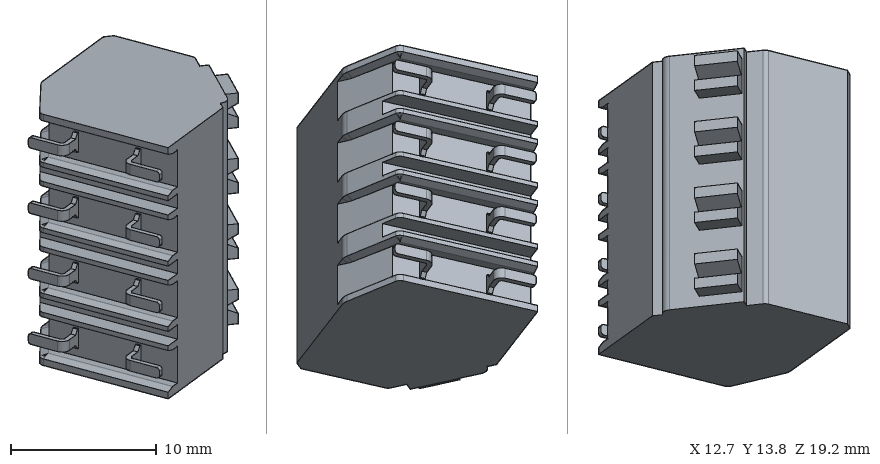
import cadquery as cq
import math


height = 19.2
width = 12.7
depth = 12.95
positions = 4
end_position_height = 4.2
pitch = (height - end_position_height) / (positions - 1)
position_centers = [height / 2 + (i - (positions - 1) / 2) * pitch for i in range(positions)]

front_chamfer_angle = 60.0
front_chamfer_y = 4.13
front_chamfer_x = front_chamfer_y / math.tan(math.radians(front_chamfer_angle))
left_edge_radius = 1.11
front_edge_radius = 0.54
back_left_chamfer = 0.54
wire_face_y = 7.25
wire_face_x = width + wire_face_y - depth
back_edge_radius = 0.48

band_start_x = 7.99
band_length = 5.93
band_height = 0.65
lever_inset = 0.15
lever_length = 3.01
lever_height = 1.29
lever_width = 2.65
lever_groove_width = 1.08
lever_groove_depth = 1.11

pocket_rim_width = 3.19
pocket_floor_width = 2.8
pocket_floor_y = 1.23
pocket_floor_x = 2.42
pocket_left_y = 5.22
rim_bevel_depth = 0.6
slot_width = 1.1

pin_thickness = 0.36
pin_drop = 0.6
pin_length = 2.94
pin_width = 0.8
pin_shoulder_width = 1.5
shoulder_end_y = 1.08
neck_start_y = 0.8
bend_radius = 0.6
foot_corner_radius = 0.23
left_pin_x = 1.85
right_pin_x = 9.4

clearance = 0.96


def round_edge(body, x, y, radius):
    """Round the upright edge of the body at (x, y)."""
    edge = cq.selectors.NearestToPointSelector((x, y, body.val().Center().z))
    return body.edges(edge).fillet(radius)


def round_front_edges(body):
    """Round both ends of the sloped front corner."""
    body = round_edge(body, front_chamfer_x, 0, front_edge_radius)
    return round_edge(body, 0, front_chamfer_y, left_edge_radius)


def make_housing():
    outline = [
        (front_chamfer_x, 0),
        (width, 0),
        (width, wire_face_y),
        (wire_face_x, depth),
        (back_left_chamfer, depth),
        (0, depth - back_left_chamfer),
        (0, front_chamfer_y),
    ]
    body = cq.Workplane("XY").polyline(outline).close().extrude(height)
    return round_edge(round_front_edges(body), wire_face_x, depth, back_edge_radius)


def wire_face_plane(z):
    """Plane with local x running down the wire face and local y pointing out of it."""
    band_start = (band_start_x, width + wire_face_y - band_start_x, z)
    return cq.Plane(origin=band_start, xDir=(1, -1, 0), normal=(0, 0, 1))


def make_band():
    arc_start_x = band_length - band_height
    arc_mid = band_height * math.sqrt(0.5)
    return (
        cq.Workplane(wire_face_plane(0))
        .moveTo(0, -clearance)
        .lineTo(0, band_height)
        .lineTo(arc_start_x, band_height)
        .threePointArc((arc_start_x + arc_mid, arc_mid), (band_length, 0))
        .lineTo(band_length, -clearance)
        .close()
        .extrude(height)
    )


def make_lever(z):
    """Block on the band, with a V groove along its outer face."""
    top = band_height + lever_height
    block = (
        cq.Workplane(wire_face_plane(z))
        .center(lever_inset + lever_length / 2, top / 2)
        .rect(lever_length, top)
        .extrude(lever_width / 2, both=True)
    )
    end = wire_face_plane(z).toWorldCoords((lever_inset, top, 0))
    groove_plane = cq.Plane(origin=end, xDir=(0, 0, 1), normal=(1, -1, 0))
    groove = (
        cq.Workplane(groove_plane)
        .polyline([
            (-lever_groove_width / 2, 0),
            (lever_groove_width / 2, 0),
            (0, lever_groove_depth),
        ])
        .close()
        .extrude(lever_length)
    )
    return block.cut(groove)


def make_lip():
    """Thin plate rising from z = 0, with edges sloping in all round, that bevels a pocket wall."""
    outline = [
        (front_chamfer_x, 0),
        (2 * width, 0),
        (2 * width, 2 * depth),
        (0, 2 * depth),
        (0, front_chamfer_y),
    ]
    plate = round_front_edges(cq.Workplane("XY").polyline(outline).close().extrude(0.2))
    rim_bevel_height = (pocket_rim_width - pocket_floor_width) / 2
    taper = math.degrees(math.atan2(rim_bevel_depth, rim_bevel_height))
    return plate.faces("<Z").wires().toPending().extrude(
        rim_bevel_height, taper=taper, combine=False
    )


def make_pocket(z):
    """Contact pocket wrapping from the left face round to the right end."""
    region = [
        (0, pocket_left_y),
        (pocket_floor_x, pocket_floor_y),
        (width + clearance, pocket_floor_y),
        (width + clearance, 0),
        (0, 0),
    ]
    half_rim = pocket_rim_width / 2
    pocket = cq.Workplane("XY").polyline(region).close().extrude(half_rim, both=True)
    lower_lip = make_lip().translate((0, 0, -half_rim))
    return pocket.cut(lower_lip).cut(lower_lip.mirror("XY")).translate((0, 0, z))


def make_slot(z):
    """Straight slot across the front, halfway between two pockets."""
    return cq.Workplane("XY").box(
        width + 2 * clearance, pocket_floor_y, slot_width, centered=(False, False, True)
    ).translate((-clearance, 0, z))


def make_pin(z):
    """Pin whose stem leaves the pocket floor at the right and whose foot points left."""
    root_y = pocket_floor_y + 0.2
    foot_back_y = pin_thickness - pin_drop
    side = (
        cq.Workplane("XY", origin=(0, 0, z))
        .moveTo(0, -pin_drop)
        .lineTo(pin_length, -pin_drop)
        .lineTo(pin_length, root_y)
        .lineTo(pin_length - pin_thickness, root_y)
        .lineTo(pin_length - pin_thickness, foot_back_y)
        .lineTo(0, foot_back_y)
        .close()
        .extrude(pin_shoulder_width / 2, both=True)
    )
    bend_outer = cq.selectors.NearestToPointSelector((pin_length, -pin_drop, z))
    bend_inner = cq.selectors.NearestToPointSelector((pin_length - pin_thickness, foot_back_y, z))
    side = side.edges(bend_outer).fillet(bend_radius)
    side = side.edges(bend_inner).fillet(bend_radius - pin_thickness)

    half_pin = pin_width / 2
    half_shoulder = pin_shoulder_width / 2
    stem_half = [
        (half_pin, -pin_drop),
        (half_pin, neck_start_y),
        (half_shoulder, shoulder_end_y),
        (half_shoulder, root_y),
    ]
    stem_outline = stem_half + [(-across, y) for across, y in reversed(stem_half)]
    stem = (
        cq.Workplane("YZ", origin=(0, 0, z))
        .polyline([(y, across) for across, y in stem_outline])
        .close()
        .extrude(pin_length)
    )
    return side.intersect(stem).edges("|Y and <X").fillet(foot_corner_radius)


result = make_housing().union(make_band())

for center in position_centers:
    result = result.cut(make_pocket(center))

for lower, upper in zip(position_centers, position_centers[1:]):
    result = result.cut(make_slot((lower + upper) / 2))

for center in position_centers:
    pin = make_pin(center)
    left_pin = pin.translate((left_pin_x, 0, 0))
    right_pin = pin.mirror("YZ").translate((right_pin_x + pin_length, 0, 0))
    result = result.union(make_lever(center)).union(left_pin).union(right_pin)